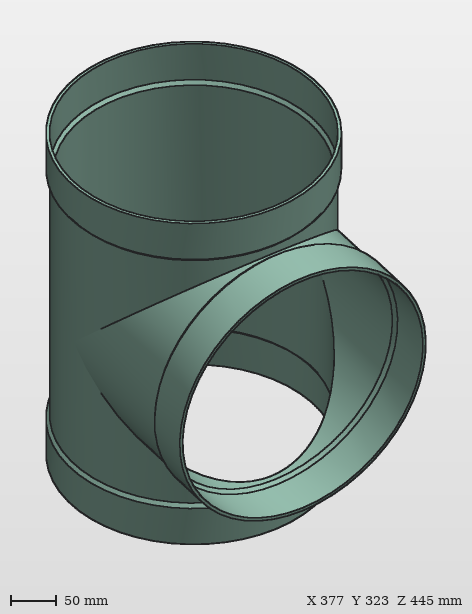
import cadquery as cq

run_length = 445.0
branch_reach = 215.5
body_diameter = 315.0
socket_diameter = 323.0
wall = 4.0
socket_depth = 50.0
taper_length = 4.5

half_length = run_length / 2
body_radius = body_diameter / 2
socket_radius = socket_diameter / 2


def mouth_profile(reach, inset):
    """(radius, height) points from the body below a socket up to its mouth rim."""
    body = body_radius - inset
    socket = socket_radius - inset
    socket_start = reach - socket_depth
    return [
        (body, socket_start - taper_length),
        (socket, socket_start),
        (socket, reach),
    ]


def revolve_about_z(points):
    return cq.Workplane("XZ").polyline(points).close().revolve(360, (0, 0, 0), (0, 1, 0))


def tee(inset):
    """Solid tee whose surfaces lie inset below the outer skin."""
    upper = mouth_profile(half_length, inset)
    lower = [(radius, -height) for radius, height in reversed(upper)]
    run = revolve_about_z([(0, -half_length)] + lower + upper + [(0, half_length)])

    branch_root = [(0, 0), (body_radius - inset, 0)]
    branch_mouth = mouth_profile(branch_reach, inset)
    branch = revolve_about_z(branch_root + branch_mouth + [(0, branch_reach)])
    return run.union(branch.rotate((0, 0, 0), (0, 1, 0), 90))


result = tee(0).cut(tee(wall))